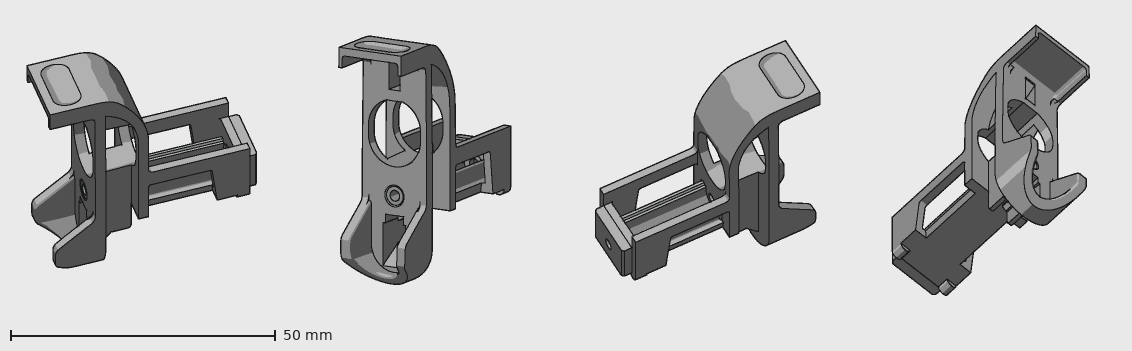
import cadquery as cq
import math


height = 46.9
half_width = 7.105
top_half_width = 6.85
draft_start_z = 24.95

plate_thickness = 2.1
handle_front_y = -8.95
handle_underside_z = 42.95
handle_roof = 1.55
handle_skirt = 0.7
cavity_corner_radius = 0.65
cavity_root_radius = 1.0
skirt_root_radius = 1.05
post_front_y = 8.65
post_back_y = 10.65
post_bottom_z = 13.1

arc_foot_z = 34.55
hood_inner_middle = (6.0, 40.5)
hood_outer_points = [(8.65, 40.65), (5.25, 45.05), (0, height)]
hood_foot_direction = (-0.1, 1)
hood_top_direction = (-1, 0)
web_hood_overlap = [(9.6, arc_foot_z), (6.8, 40.8), (plate_thickness, 44.1)]

arm_top_z = 24.95
arm_end_y = 30.8
arm_thickness = 1.55
arm_root_radius = 0.95
floor_top_z = 15.0
floor_corner_radius = 0.3
rear_wall_top_z = 21.3
rear_wall_thickness = 1.65
rear_wall_slope = 0.85
foot_length = 2.45
foot_bottom_z = 11.9

window_top_z = 21.6
window_back_top_y = 23.25
window_back_bottom_y = 24.3
window_corner_radius = 0.55
window_inner_x = 4.75
window_inner_lean = 0.38

bore_z = 16.95
bore_radius = 1.055
groove_radius = 2.1
rail_outer_x = 3.7
rail_top_z = 18.53
rail_edge_radius = 0.35
rail_root = 0.38
rail_step_z = 18.1
rail_step_inner_x = 2.65
rail_step_outer_x = 2.95
ring_outer_radius = 2.1
ring_inner_radius = 1.85
ring_depth = 0.15

web_half_width = 2.8
web_bottom_z = 6.65
web_corner_radius = 0.85
web_bevel_y = 4.6
web_bevel_foot_z = 3.95

opening_radius = 5.75
opening_low_z = 28.37
opening_high_z = 29.9
opening_top_z = 35.4
opening_draft = 1.7

top_slot_width = 2.5
top_slot_bottom_z = 37.5
top_slot_top_z = 44.9
top_slot_depth = 7.9
top_slot_back_points = [(6.2, 40.7), (2.35, 43.15), (0, top_slot_top_z)]
key_half_width = 1.95
key_top_z = 13.15
pocket_half_width = 2.5
pocket_top_z = 11.45
pocket_bottom_z = 3.05
pocket_lip = 0.45
pocket_floor_back_z = 6.55
hook_tip_x = 0.75
hook_top_z = 11.95
hook_root_z = 10.97
hook_flat = 0.35

wing_thickness = 2.0
wing_front_y = -7.93
wing_root_z = 15.45
wing_root_reach = 1.1
wing_shoulder_z = 9.55
wing_knee_z = 5.35
wing_toe_y = -1.05
wing_corner_radius = 1.88
wing_edge_radius = 0.55

recess_centre_y = -4.45
recess_half_width = 2.75
recess_straight = 6.9
recess_end = 2.05
recess_depth = 0.7

pad_length = 2.0
pad_chamfer = 0.4

inner_half_width = half_width - arm_thickness
through_length = 2 * height
margin = 0.05


def side_prism(outline, x_start, x_end):
    """Extrude a closed (Y, Z) wire along X."""
    return outline.extrude(x_end - x_start).translate((x_start, 0, 0))


def front_prism(outline, y_start, y_end):
    """Extrude a closed (X, Z) wire along +Y."""
    return outline.extrude(-(y_end - y_start)).translate((0, y_start, 0))


def block(x_start, x_end, y_start, y_end, z_start, z_end):
    return cq.Workplane("XY").box(
        x_end - x_start, y_end - y_start, z_end - z_start, centered=False
    ).translate((x_start, y_start, z_start))


def both_sides(shape):
    return shape.union(shape.mirror("YZ"))


def u_outline(half, bottom_z, top_half, top_z):
    """Strip with a round bottom whose sides lean in above the draft level."""
    return (
        cq.Workplane("XZ")
        .moveTo(half, bottom_z + half)
        .lineTo(half, draft_start_z)
        .lineTo(top_half, top_z)
        .lineTo(-top_half, top_z)
        .lineTo(-half, draft_start_z)
        .lineTo(-half, bottom_z + half)
        .threePointArc((0, bottom_z), (half, bottom_z + half))
        .close()
    )


def hood_post_and_arms():
    """Handle, curved hood, post and arms as one full-width side profile."""
    fillet_middle = arm_root_radius * (1 - math.sqrt(0.5))
    outline = (
        cq.Workplane("YZ")
        .moveTo(handle_front_y, height)
        .lineTo(handle_front_y, handle_underside_z)
        .lineTo(plate_thickness, handle_underside_z)
        .spline([hood_inner_middle, (post_front_y, arc_foot_z)], includeCurrent=True)
        .lineTo(post_front_y, post_bottom_z)
        .lineTo(arm_end_y, post_bottom_z)
        .lineTo(arm_end_y, arm_top_z)
        .lineTo(post_back_y + arm_root_radius, arm_top_z)
        .threePointArc(
            (post_back_y + fillet_middle, arm_top_z + fillet_middle),
            (post_back_y, arm_top_z + arm_root_radius),
        )
        .lineTo(post_back_y, arc_foot_z)
        .spline(
            hood_outer_points,
            tangents=[hood_foot_direction, hood_top_direction],
            includeCurrent=True,
        )
        .close()
    )
    return side_prism(outline, -half_width, half_width)


def handle_cavity():
    """Hollow under the handle, open to the front and below."""
    half = top_half_width - handle_skirt
    roof_z = height - handle_roof
    cavity = block(-half, half, handle_front_y, 0, handle_underside_z, roof_z)
    cavity = cavity.edges("|Y and >Z").fillet(cavity_corner_radius)
    return cavity.faces(">Y").edges("not <Z").fillet(cavity_root_radius)


def skirt_root():
    """Concave fillets where the handle skirts meet the plate."""
    radius = skirt_root_radius
    middle = radius * (1 - math.sqrt(0.5))
    outline = (
        cq.Workplane("YZ")
        .moveTo(0, handle_underside_z)
        .lineTo(-radius, handle_underside_z)
        .threePointArc((-middle, handle_underside_z - middle), (0, handle_underside_z - radius))
        .close()
    )
    inner_x = top_half_width - handle_skirt - cavity_root_radius
    return both_sides(side_prism(outline, inner_x, half_width))


def central_web():
    """Web joining plate, post and hood."""
    outline = (
        cq.Workplane("YZ")
        .moveTo(0, web_bevel_foot_z)
        .lineTo(plate_thickness, web_bevel_foot_z)
        .lineTo(web_bevel_y, web_bottom_z)
        .lineTo(post_front_y - web_corner_radius, web_bottom_z)
        .radiusArc((post_front_y, web_bottom_z + web_corner_radius), -web_corner_radius)
        .lineTo(post_front_y, arc_foot_z)
        .lineTo(*web_hood_overlap[0])
        .lineTo(*web_hood_overlap[1])
        .lineTo(*web_hood_overlap[2])
        .lineTo(0, handle_underside_z)
        .close()
    )
    return side_prism(outline, -web_half_width, web_half_width)


def plate_with_wings():
    """Front plate with a U-shaped rim that is cut to its side profile and rounded inside."""
    profile = side_prism(
        cq.Workplane("YZ")
        .moveTo(0, 0)
        .lineTo(wing_toe_y, 0)
        .lineTo(wing_front_y, wing_knee_z)
        .lineTo(wing_front_y, wing_shoulder_z)
        .lineTo(0, wing_root_z)
        .lineTo(plate_thickness, wing_root_z)
        .lineTo(plate_thickness, 0)
        .close(),
        -half_width,
        half_width,
    )
    profile = profile.edges("|X and <Y").fillet(wing_corner_radius)
    hollow_half = half_width - wing_thickness
    hollow = front_prism(
        u_outline(hollow_half, wing_thickness, hollow_half, height), handle_front_y, 0
    )
    rim_edges = cq.selectors.BoxSelector(
        (-hollow_half - margin, wing_front_y - margin, wing_thickness - margin),
        (hollow_half + margin, -margin, height),
    )
    plate = block(-half_width, half_width, 0, plate_thickness, 0, height - handle_roof)
    plate = plate.union(profile.cut(hollow))
    return plate.edges(rim_edges).edges("not |Y").fillet(wing_edge_radius)


def wing_roots():
    """Concave fillets where the sloping wing edges meet the plate."""
    slope = math.atan2(wing_root_z - wing_shoulder_z, -wing_front_y)
    tangent_point = (-wing_root_reach * math.cos(slope), wing_root_z - wing_root_reach * math.sin(slope))
    radius = wing_root_reach / math.tan((math.pi / 2 - slope) / 2)
    outline = (
        cq.Workplane("YZ")
        .moveTo(0, wing_root_z)
        .lineTo(*tangent_point)
        .radiusArc((0, wing_root_z + wing_root_reach), -radius)
        .close()
    )
    return both_sides(side_prism(outline, half_width - wing_thickness + wing_edge_radius, half_width))


def space_between_arms():
    wall_front_y = arm_end_y - rear_wall_thickness
    outline = cq.Workplane("YZ").polyline([
        (post_back_y, floor_top_z),
        (wall_front_y - rear_wall_slope, floor_top_z),
        (wall_front_y, rear_wall_top_z),
        (arm_end_y, rear_wall_top_z),
        (arm_end_y, height),
        (post_back_y, height),
    ]).close()
    space = side_prism(outline, -inner_half_width, inner_half_width)
    floor_edges = cq.selectors.BoxSelector(
        (-half_width, post_back_y + margin, floor_top_z - margin),
        (half_width, arm_end_y, rear_wall_top_z - margin),
    )
    return space.edges(floor_edges).fillet(floor_corner_radius)


def guide_rails():
    """Stepped rails along Y on the floor, still solid where the groove will run between them."""
    radius = rail_edge_radius
    outline = (
        cq.Workplane("XZ")
        .moveTo(0, floor_top_z)
        .lineTo(0, bore_z)
        .lineTo(groove_radius, bore_z)
        .lineTo(groove_radius, rail_step_z)
        .lineTo(rail_step_inner_x, rail_step_z)
        .lineTo(rail_step_outer_x, rail_top_z)
        .lineTo(rail_outer_x - radius, rail_top_z)
        .radiusArc((rail_outer_x, rail_top_z - radius), radius)
        .lineTo(rail_outer_x, floor_top_z + radius)
        .radiusArc((rail_outer_x + radius, floor_top_z), -radius)
        .close()
    )
    rail = front_prism(outline, post_back_y, arm_end_y - rear_wall_thickness)
    root = cq.Workplane("XY").polyline([
        (rail_outer_x, post_back_y),
        (rail_outer_x + rail_root, post_back_y),
        (rail_outer_x, post_back_y + rail_root),
    ]).close().extrude(rail_top_z - radius - floor_top_z).translate((0, 0, floor_top_z))
    return both_sides(rail.union(root))


def side_windows():
    """Openings through the arms that also free the floor from the arms."""
    profile = side_prism(
        cq.Workplane("YZ").polyline([
            (post_back_y, post_bottom_z),
            (window_back_bottom_y, post_bottom_z),
            (window_back_top_y, window_top_z),
            (post_back_y, window_top_z),
        ]).close(),
        0,
        half_width,
    )
    profile = profile.edges("|X and >Z").fillet(window_corner_radius)
    depth = front_prism(
        cq.Workplane("XZ").polyline([
            (window_inner_x - window_inner_lean, post_bottom_z),
            (window_inner_x, floor_top_z),
            (window_inner_x, window_top_z),
            (half_width, window_top_z),
            (half_width, post_bottom_z),
        ]).close(),
        post_back_y,
        window_back_bottom_y,
    )
    return both_sides(profile.intersect(depth))


def feet():
    """Round-bottomed ribs under the arm ends."""
    radius = post_bottom_z - foot_bottom_z
    centre_x = half_width - radius
    outline = (
        cq.Workplane("XZ")
        .moveTo(centre_x - radius, post_bottom_z)
        .threePointArc((centre_x, foot_bottom_z), (centre_x + radius, post_bottom_z))
        .close()
    )
    return both_sides(front_prism(outline, arm_end_y - foot_length, arm_end_y))


def large_opening():
    """Tall round opening with a flat top, narrowing toward the back."""
    flat_half = math.sqrt(opening_radius**2 - (opening_top_z - opening_high_z) ** 2)
    corner = opening_radius * math.sqrt(0.5)
    return (
        cq.Workplane("XZ")
        .moveTo(-flat_half, opening_top_z)
        .lineTo(flat_half, opening_top_z)
        .threePointArc((corner, opening_high_z + corner), (opening_radius, opening_high_z))
        .lineTo(opening_radius, opening_low_z)
        .threePointArc((0, opening_low_z - opening_radius), (-opening_radius, opening_low_z))
        .lineTo(-opening_radius, opening_high_z)
        .threePointArc((-corner, opening_high_z + corner), (-flat_half, opening_top_z))
        .close()
        .extrude(-post_back_y, taper=opening_draft)
    )


def top_slot():
    """Slot through the plate and web, closed at the back by the hood."""
    outline = (
        cq.Workplane("YZ")
        .moveTo(0, top_slot_bottom_z)
        .lineTo(top_slot_depth, top_slot_bottom_z)
        .spline(top_slot_back_points, includeCurrent=True)
        .close()
    )
    return side_prism(outline, -top_slot_width / 2, top_slot_width / 2)


def key_slot():
    """Narrow slot through plate and web, with a wider flared pocket below and a sloping floor."""
    narrow = block(-key_half_width, key_half_width, 0, post_front_y, pocket_bottom_z, key_top_z)
    flare = (
        cq.Workplane("XZ")
        .rect(2 * pocket_half_width, pocket_top_z - pocket_bottom_z)
        .workplane(offset=-web_bevel_y)
        .rect(2 * key_half_width, pocket_top_z - pocket_bottom_z)
        .loft()
        .translate((0, 0, (pocket_top_z + pocket_bottom_z) / 2))
    )
    above_floor = side_prism(
        cq.Workplane("YZ").polyline([
            (0, pocket_bottom_z),
            (0, key_top_z),
            (post_front_y, key_top_z),
            (post_front_y, pocket_floor_back_z),
            (web_bevel_y, pocket_floor_back_z),
            (pocket_lip, pocket_bottom_z + pocket_lip),
        ]).close(),
        -half_width,
        half_width,
    )
    return narrow.union(flare).intersect(above_floor)


def hooks():
    """Two small catches reaching into the key slot behind the plate."""
    outline = cq.Workplane("XZ").polyline([
        (key_half_width, hook_top_z),
        (hook_tip_x, hook_top_z),
        (hook_tip_x, hook_top_z - hook_flat),
        (key_half_width - hook_flat, hook_root_z),
        (key_half_width, hook_root_z),
    ]).close()
    return both_sides(front_prism(outline, web_bevel_y, post_front_y))


def bore():
    return cq.Workplane("XZ").center(0, bore_z).circle(bore_radius).extrude(-through_length)


def groove():
    """Round-bottomed channel between the guide rails."""
    length = arm_end_y - rear_wall_thickness - post_back_y
    return (
        cq.Workplane("XZ", origin=(0, post_back_y, bore_z)).circle(groove_radius).extrude(-length)
    )


def bore_ring():
    """Shallow conical sink around the bore on the plate."""
    return (
        cq.Workplane("XZ")
        .circle(ring_outer_radius)
        .workplane(offset=-ring_depth)
        .circle(ring_inner_radius)
        .loft()
        .translate((0, 0, bore_z))
    )


def finger_recess():
    """Scoop in the handle: a long cylinder face with rounded ends, revolved about an X axis."""
    sweep_radius = (recess_half_width**2 + recess_depth**2) / (2 * recess_depth)
    axis_height = sweep_radius - recess_depth
    end_radius = (recess_end**2 + recess_depth**2) / (2 * recess_depth)
    end_angle = math.asin(recess_end / end_radius) / 2
    straight_half = recess_straight / 2
    end_x = straight_half + recess_end
    middle_x = straight_half + end_radius * math.sin(end_angle)
    middle_r = sweep_radius - end_radius * (1 - math.cos(end_angle))
    return (
        cq.Workplane("XZ")
        .moveTo(-end_x, 0)
        .lineTo(-end_x, -axis_height)
        .threePointArc((-middle_x, -middle_r), (-straight_half, -sweep_radius))
        .lineTo(straight_half, -sweep_radius)
        .threePointArc((middle_x, -middle_r), (end_x, -axis_height))
        .lineTo(end_x, 0)
        .close()
        .revolve(360, (0, 0, 0), (1, 0, 0))
        .translate((0, recess_centre_y, height + axis_height))
    )


def make_frame():
    frame = hood_post_and_arms().cut(handle_cavity())
    frame = frame.union(plate_with_wings()).union(wing_roots()).union(central_web()).union(skirt_root())
    outline = u_outline(half_width, 0, top_half_width, height)
    frame = frame.intersect(front_prism(outline, handle_front_y, arm_end_y))
    frame = frame.cut(space_between_arms()).union(guide_rails()).cut(groove())
    frame = frame.cut(side_windows()).union(feet())
    frame = frame.cut(large_opening()).cut(top_slot())
    frame = frame.cut(key_slot()).union(hooks())
    return frame.cut(bore()).cut(bore_ring()).cut(finger_recess())


def make_rear_pad():
    """Pad on the back of the rear wall, as wide as the space between the arms."""
    pad = block(
        -inner_half_width, inner_half_width, arm_end_y, arm_end_y + pad_length, post_bottom_z, rear_wall_top_z
    )
    return pad.edges("|Z and >Y").chamfer(pad_chamfer).cut(bore())


frame = make_frame()
rear_pad = make_rear_pad()

result = cq.Compound.makeCompound([frame.val(), rear_pad.val()])